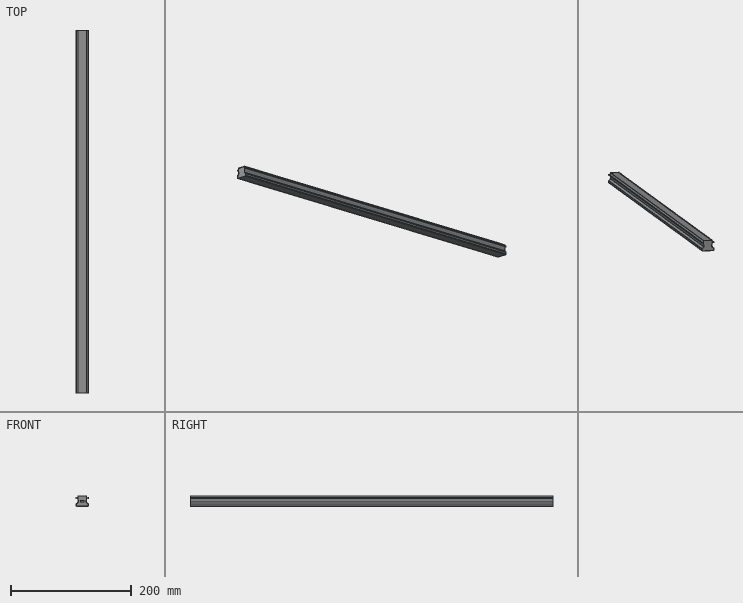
import cadquery as cq

WIDTH = 20.0
LENGTH = 600.0
HEIGHT = 17.5

BASE_CHAMFER = 1.0
BASE_FLANK_TOP = 4.0
SHOULDER_TOP = 7.25

WEB_WIDTH = 13.75
WEB_TOP = 9.5
UNDERCUT_TOP = 11.0

HEAD_WIDTH = 14.5
RIB_CENTRE_HEIGHT = 14.0
RIB_THICKNESS = 1.0
GROOVE_RISE = 1.25
GROOVE_RADIUS = 1.75

SLOT_WIDTH = 6.0
SLOT_HEIGHT = 2.5
SLOT_CENTRE_HEIGHT = HEIGHT / 2
SLOT_DEPTH = 1.0


def make_rail():
    """Extrude the +X half of the section along the full length and mirror it."""
    half_width = WIDTH / 2
    half_web = WEB_WIDTH / 2
    half_head = HEAD_WIDTH / 2
    rib_bottom = RIB_CENTRE_HEIGHT - RIB_THICKNESS / 2
    rib_top = RIB_CENTRE_HEIGHT + RIB_THICKNESS / 2
    half_section = (
        cq.Workplane("XZ")
        .lineTo(half_width - BASE_CHAMFER, 0)
        .lineTo(half_width, BASE_CHAMFER)
        .lineTo(half_width, BASE_FLANK_TOP)
        .lineTo(half_web, SHOULDER_TOP)
        .lineTo(half_web, WEB_TOP)
        .lineTo(half_head, UNDERCUT_TOP)
        .lineTo(half_head, rib_bottom - GROOVE_RISE)
        .radiusArc((half_width, rib_bottom), GROOVE_RADIUS)
        .lineTo(half_width, rib_top)
        .radiusArc((half_head, rib_top + GROOVE_RISE), GROOVE_RADIUS)
        .lineTo(half_head, HEIGHT)
        .lineTo(0, HEIGHT)
        .close()
    )
    half_rail = half_section.extrude(LENGTH / 2, both=True)
    return half_rail.union(half_rail.mirror("YZ")).clean()


def make_end_slot():
    """Block that cuts the shallow slot into the -Y end face."""
    slot = cq.Workplane("XY").box(SLOT_WIDTH, SLOT_DEPTH, SLOT_HEIGHT)
    return slot.translate((0, (SLOT_DEPTH - LENGTH) / 2, SLOT_CENTRE_HEIGHT))


result = make_rail().cut(make_end_slot())